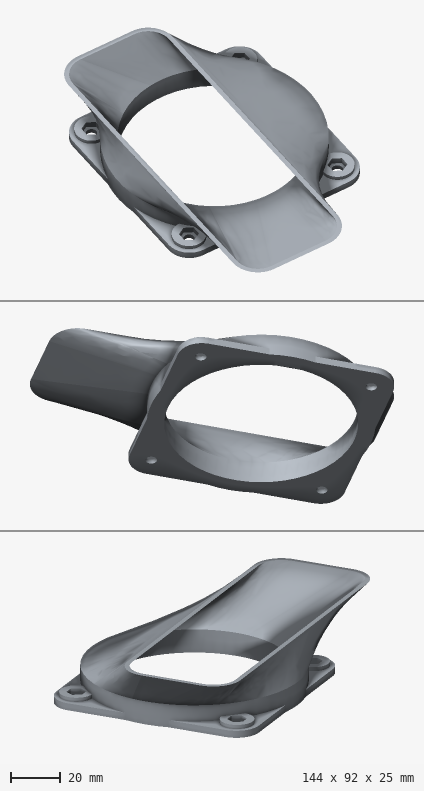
import cadquery as cq
import math

ring_diameter = 92.0
bore_diameter = 78.0
ring_height = 10.0

total_height = 25.0
mouth_length = 144.0
mouth_width = 50.1
mouth_corner_radius = 12.0
mouth_wall = 2.0
mouth_offset_x = 16.0
mouth_offset_y = -16.0

corner_inner_angle = 8.0
corner_outer_angle = 36.5
far_corner_outer_angle = 19.0

plate_side = 90.0
plate_thickness = 3.0
hole_spacing = 71.4
plate_corner_radius = 10.0

boss_diameter = 14.0
boss_top = 4.8
screw_hole_diameter = 4.6
nut_across_corners = 8.0
nut_pocket_floor = 2.0


def circle_point(radius, angle):
    """Point on a circle about the origin, at an angle in degrees from +X."""
    return (radius * math.cos(math.radians(angle)), radius * math.sin(math.radians(angle)))


def split_circle(radius):
    """Circle split into eight arcs, one under each corner and side of the mouth outline."""
    splits = [
        -corner_outer_angle,
        -corner_inner_angle,
        corner_inner_angle,
        far_corner_outer_angle,
        180 - corner_outer_angle,
        180 - corner_inner_angle,
        180 + corner_inner_angle,
        180 + corner_outer_angle,
        360 - corner_outer_angle,
    ]
    circle = cq.Workplane("XY", origin=(0, 0, ring_height)).moveTo(*circle_point(radius, splits[0]))
    for start, end in zip(splits, splits[1:]):
        circle = circle.threePointArc(circle_point(radius, (start + end) / 2), circle_point(radius, end))
    return circle.wire().val()


def mouth_outline(inset):
    """Rounded rectangle at the mouth, drawn counterclockwise from the right end of its front side."""
    half_length = mouth_length / 2 - inset
    half_width = mouth_width / 2 - inset
    radius = mouth_corner_radius - inset
    straight_x = half_length - radius
    straight_y = half_width - radius
    diagonal = radius * math.sqrt(0.5)
    return (
        cq.Workplane("XY", origin=(mouth_offset_x, mouth_offset_y, total_height))
        .moveTo(straight_x, -half_width)
        .threePointArc((straight_x + diagonal, -straight_y - diagonal), (half_length, -straight_y))
        .lineTo(half_length, straight_y)
        .threePointArc((straight_x + diagonal, straight_y + diagonal), (straight_x, half_width))
        .lineTo(-straight_x, half_width)
        .threePointArc((-straight_x - diagonal, straight_y + diagonal), (-half_length, straight_y))
        .lineTo(-half_length, -straight_y)
        .threePointArc((-straight_x - diagonal, -straight_y - diagonal), (-straight_x, -half_width))
        .close()
        .val()
    )


def funnel(round_diameter, inset):
    """Solid running from a circle on top of the ring up to the mouth outline, shrunk by inset."""
    return cq.Solid.makeLoft([split_circle(round_diameter / 2), mouth_outline(inset)])


def at_screws(base_height):
    """Workplane at the given height with a point at each of the four screw positions."""
    plane = cq.Workplane("XY", origin=(0, 0, base_height))
    return plane.rect(hole_spacing, hole_spacing, forConstruction=True).vertices()


plate = cq.Workplane("XY").rect(plate_side, plate_side).extrude(plate_thickness)
plate = plate.edges("|Z").fillet(plate_corner_radius)
bosses = at_screws(0).circle(boss_diameter / 2).extrude(boss_top)
ring = cq.Workplane("XY").circle(ring_diameter / 2).extrude(ring_height)
body = plate.union(bosses).union(ring).union(funnel(ring_diameter, 0))

bore = cq.Workplane("XY").circle(bore_diameter / 2).extrude(ring_height)
body = body.cut(bore).cut(funnel(bore_diameter, mouth_wall))

screw_holes = at_screws(0).circle(screw_hole_diameter / 2).extrude(boss_top)
nut_pockets = at_screws(nut_pocket_floor).polygon(6, nut_across_corners).extrude(boss_top - nut_pocket_floor)

result = body.cut(screw_holes).cut(nut_pockets)